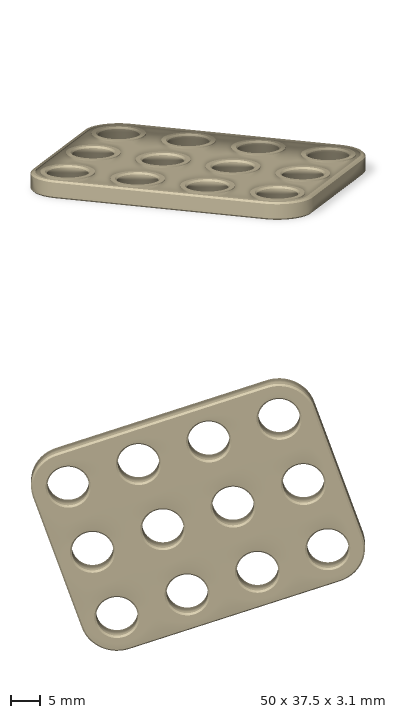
import cadquery as cq

pitch = 12.5
columns = 4
rows = 3
thickness = 3.1
length = columns * pitch
width = rows * pitch
corner_radius = pitch / 2

edge_chamfer = 0.3
rim_inset = 0.8
recess_depth = 0.2

hole_diameter = 7.0
ring_diameter = 9.2


def rounded_slab(inset, height, base_z):
    """Slab following the plate outline, moved inward by inset."""
    return (
        cq.Workplane("XY", origin=(0, 0, base_z))
        .rect(length - 2 * inset, width - 2 * inset)
        .extrude(height)
        .edges("|Z")
        .fillet(corner_radius - inset)
    )


def hole_cylinders(diameter, height, base_z):
    """One cylinder on every hole centre."""
    return (
        cq.Workplane("XY", origin=(0, 0, base_z))
        .rarray(pitch, pitch, columns, rows)
        .circle(diameter / 2)
        .extrude(height)
    )


plate = rounded_slab(0, thickness, 0)
plate = plate.cut(hole_cylinders(hole_diameter, thickness, 0))
plate = plate.faces("<Z or >Z").edges().chamfer(edge_chamfer)

recess_floor = thickness - recess_depth
recess = rounded_slab(rim_inset, recess_depth, recess_floor)
recess = recess.cut(hole_cylinders(ring_diameter, recess_depth, recess_floor))

result = plate.cut(recess)